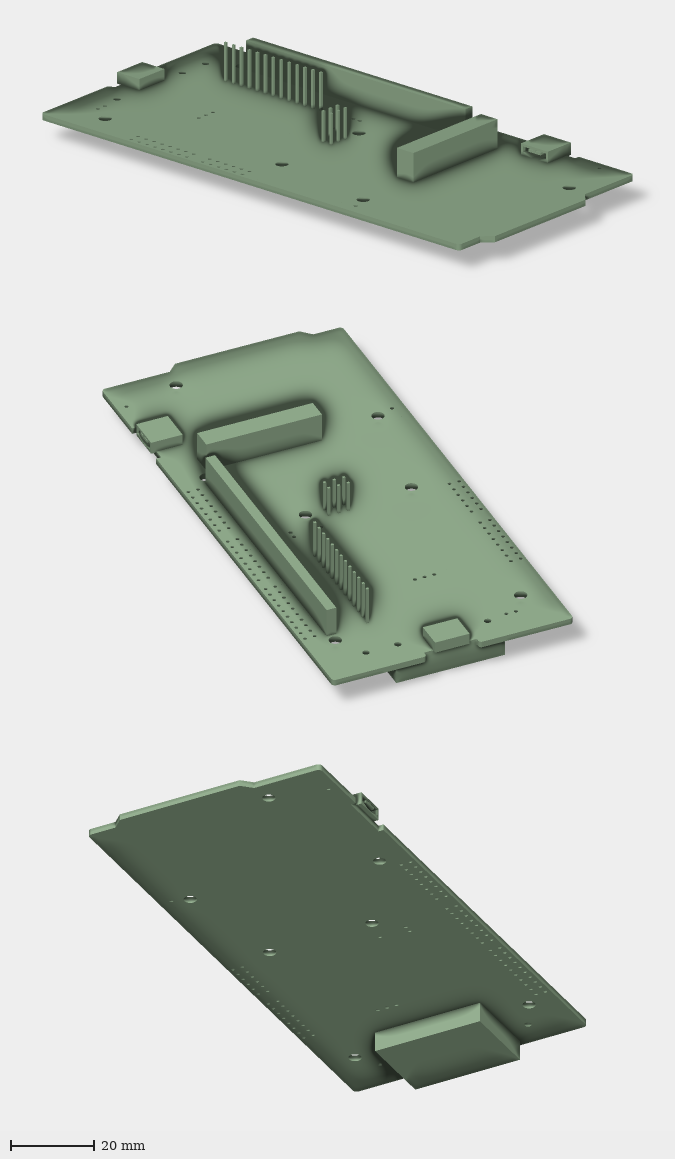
import cadquery as cq

GRID = 2.54

BOARD_LENGTH = 133.99
BOARD_WIDTH = 63.5
BOARD_THICKNESS = 1.6
BOARD_CORNER_RADIUS = 1.0
TAB_REACH = GRID
TAB_BOTTOM = 7.62
TAB_TOP = 45.47

NOTCH_WIDTH = 13.9
LEFT_NOTCH_DEPTH = 1.65
LEFT_NOTCH_MOUTH_RADIUS = 0.8
LEFT_NOTCH_ROOT_RADIUS = 0.4
SELECTION_MARGIN = 0.1
TOP_NOTCH_DEPTH = 1.3
TOP_NOTCH_CENTER_X = 109.2

MOUNTING_HOLE_DIAMETER = 3.2
MOUNTING_HOLES = [
    (13.97, 7.62),
    (15.24, 55.88),
    (66.04, 12.7),
    (66.04, 40.64),
    (90.17, 55.88),
    (96.52, 7.62),
    (128.27, 46.36),
]
LATCH_HOLE_DIAMETER = 1.78
LATCH_HOLES = [(7.45, 19.3), (7.45, 42.95), (7.45, 51.35)]
HEADER_HOLE_DIAMETER = 0.9
UPPER_HEADER_ROWS = (BOARD_WIDTH - 1.5 * GRID, BOARD_WIDTH - 0.5 * GRID)
LOWER_HEADER_ROWS = (0.5 * GRID, 1.5 * GRID)
UPPER_HEADERS = [(18.796, 10), (45.72, 8), (68.58, 8)]
LOWER_HEADERS = [(27.94, 8), (50.8, 6)]
JUMPER_HOLE_DIAMETER = 0.99
JUMPER_COLUMNS = [(30.48, 22.86, 3), (8.31, 11.43, 2)]
SMALL_HOLE_DIAMETER = 1.0
SMALL_HOLES = [
    (58.7, 46.95),
    (60.7, 46.95),
    (59.7, 39.38),
    (98.0, 3.25),
    (125.05, 60.95),
]

PIN_WIDTH = 0.64
TALL_PIN_HEIGHT = 9.93
TALL_PIN_COUNT = 13
TALL_PIN_ROW_X = 18.81
TALL_PIN_ROW_Y = 45.8
SHORT_PIN_HEIGHT = 8.0
SHORT_PIN_COLUMNS = 2
SHORT_PIN_ROWS = 3
SHORT_PIN_X = 63.6
SHORT_PIN_Y = 30.48

SOCKET_HEIGHT = 7.6
LONG_SOCKET_LENGTH = 70.2
LONG_SOCKET_WIDTH = GRID
LONG_SOCKET_X = 17.6
LONG_SOCKET_Y = 54.55
CROSS_SOCKET_WIDTH = 5.3
CROSS_SOCKET_LENGTH = 30.48
CROSS_SOCKET_X = 92.7
CROSS_SOCKET_Y = 24.15

BLOCK_LENGTH = 20.1
BLOCK_WIDTH = 28.6
BLOCK_HEIGHT = 5.2
BLOCK_Y = 17.4

CONNECTOR_HEIGHT = 2.95
LEFT_CONNECTOR_LENGTH = 7.1
LEFT_CONNECTOR_WIDTH = 9.1
LEFT_CONNECTOR_X = 0.5
SHELL_WIDTH = 8.6
SHELL_LENGTH = 8.3
SHELL_END_Y = 63.62
SHELL_SINK = 0.25
SHELL_WALL = 0.65
SHELL_SLOPE_WIDTH = 2.6
SHELL_SLOPE_HEIGHT = 0.75
TONGUE_WIDTH = 3.8
TONGUE_THICKNESS = 0.65
TONGUE_NECK_WIDTH = 0.8
TONGUE_NECK_HEIGHT = 0.25


def box(x, y, z, length, width, height):
    """Box given by its lowest corner and its sizes."""
    return cq.Workplane("XY").box(length, width, height, centered=False).translate((x, y, z))


def board_plate():
    """Board with rounded corners, a tab on the right and a notch in the left and top edges."""
    tab_end = BOARD_LENGTH + TAB_REACH
    plate = (
        cq.Workplane("XY")
        .rect(BOARD_LENGTH, BOARD_WIDTH, centered=False)
        .extrude(BOARD_THICKNESS)
        .edges("|Z")
        .fillet(BOARD_CORNER_RADIUS)
    )
    tab = (
        cq.Workplane("XY")
        .moveTo(BOARD_LENGTH, TAB_BOTTOM)
        .lineTo(tab_end, TAB_BOTTOM + TAB_REACH)
        .lineTo(tab_end, TAB_TOP - TAB_REACH)
        .lineTo(BOARD_LENGTH, TAB_TOP)
        .close()
        .extrude(BOARD_THICKNESS)
    )
    left_notch = box(
        0,
        (BOARD_WIDTH - NOTCH_WIDTH) / 2,
        0,
        LEFT_NOTCH_DEPTH,
        NOTCH_WIDTH,
        BOARD_THICKNESS,
    )
    plate = plate.cut(left_notch)
    plate = round_left_notch(plate, 0, LEFT_NOTCH_MOUTH_RADIUS)
    plate = round_left_notch(plate, LEFT_NOTCH_DEPTH, LEFT_NOTCH_ROOT_RADIUS)
    top_notch = box(
        TOP_NOTCH_CENTER_X - NOTCH_WIDTH / 2,
        BOARD_WIDTH - TOP_NOTCH_DEPTH,
        0,
        NOTCH_WIDTH,
        TOP_NOTCH_DEPTH,
        BOARD_THICKNESS,
    )
    return plate.union(tab).cut(top_notch)


def round_left_notch(plate, x, radius):
    """Round the two upright edges of the left notch that stand at the given X."""
    selector = cq.selectors.BoxSelector(
        (x - SELECTION_MARGIN, (BOARD_WIDTH - NOTCH_WIDTH) / 2 - SELECTION_MARGIN, 0),
        (x + SELECTION_MARGIN, (BOARD_WIDTH + NOTCH_WIDTH) / 2 + SELECTION_MARGIN, BOARD_THICKNESS),
    )
    upright_edges = plate.edges("|Z").edges(selector)
    return upright_edges.fillet(radius)


def drill(plate, points, diameter):
    """Drill round through holes at the given points."""
    drills = cq.Workplane("XY").pushPoints(points).circle(diameter / 2).extrude(BOARD_THICKNESS)
    return plate.cut(drills)


def header_points(headers, rows):
    """Hole centres of pin headers that share the same rows."""
    return [(first_x + GRID * i, y) for first_x, count in headers for i in range(count) for y in rows]


def drilled_board():
    """Board with all its holes."""
    jumper_points = [(x, y + GRID * i) for x, y, count in JUMPER_COLUMNS for i in range(count)]
    plate = board_plate()
    plate = drill(plate, MOUNTING_HOLES, MOUNTING_HOLE_DIAMETER)
    plate = drill(plate, LATCH_HOLES, LATCH_HOLE_DIAMETER)
    plate = drill(plate, header_points(UPPER_HEADERS, UPPER_HEADER_ROWS), HEADER_HOLE_DIAMETER)
    plate = drill(plate, header_points(LOWER_HEADERS, LOWER_HEADER_ROWS), HEADER_HOLE_DIAMETER)
    plate = drill(plate, jumper_points, JUMPER_HOLE_DIAMETER)
    return drill(plate, SMALL_HOLES, SMALL_HOLE_DIAMETER)


def pins(points, height):
    """Square pins standing on the board."""
    return (
        cq.Workplane("XY", origin=(0, 0, BOARD_THICKNESS))
        .pushPoints(points)
        .rect(PIN_WIDTH, PIN_WIDTH)
        .extrude(height)
    )


def tall_pins():
    """Single row of tall pins."""
    points = [(TALL_PIN_ROW_X + GRID * i, TALL_PIN_ROW_Y) for i in range(TALL_PIN_COUNT)]
    return pins(points, TALL_PIN_HEIGHT)


def short_pins():
    """Small block of short pins."""
    points = [
        (SHORT_PIN_X + GRID * i, SHORT_PIN_Y + GRID * j)
        for i in range(SHORT_PIN_COLUMNS)
        for j in range(SHORT_PIN_ROWS)
    ]
    return pins(points, SHORT_PIN_HEIGHT)


def sockets():
    """Long socket along the top edge and the socket across the board."""
    long_socket = box(
        LONG_SOCKET_X,
        LONG_SOCKET_Y,
        BOARD_THICKNESS,
        LONG_SOCKET_LENGTH,
        LONG_SOCKET_WIDTH,
        SOCKET_HEIGHT,
    )
    cross_socket = box(
        CROSS_SOCKET_X,
        CROSS_SOCKET_Y,
        BOARD_THICKNESS,
        CROSS_SOCKET_WIDTH,
        CROSS_SOCKET_LENGTH,
        SOCKET_HEIGHT,
    )
    return long_socket.union(cross_socket)


def lower_block():
    """Plain block under the board."""
    return box(LEFT_NOTCH_DEPTH, BLOCK_Y, -BLOCK_HEIGHT, BLOCK_LENGTH, BLOCK_WIDTH, BLOCK_HEIGHT)


def left_connector():
    """Closed connector body that overhangs the left notch."""
    return box(
        LEFT_CONNECTOR_X,
        (BOARD_WIDTH - LEFT_CONNECTOR_WIDTH) / 2,
        BOARD_THICKNESS,
        LEFT_CONNECTOR_LENGTH,
        LEFT_CONNECTOR_WIDTH,
        CONNECTOR_HEIGHT,
    )


def shell_outer():
    """Outer body of the open connector over the top notch."""
    return box(
        TOP_NOTCH_CENTER_X - SHELL_WIDTH / 2,
        SHELL_END_Y - SHELL_LENGTH,
        BOARD_THICKNESS - SHELL_SINK,
        SHELL_WIDTH,
        SHELL_LENGTH,
        CONNECTOR_HEIGHT + SHELL_SINK,
    )


def shell_opening():
    """Passage along Y through the open connector, with a tongue hanging from its roof."""
    half_width = SHELL_WIDTH / 2 - SHELL_WALL
    floor = BOARD_THICKNESS
    roof = BOARD_THICKNESS + CONNECTOR_HEIGHT - SHELL_WALL
    tongue_top = roof - TONGUE_NECK_HEIGHT
    tongue_bottom = tongue_top - TONGUE_THICKNESS
    right_side = [
        (half_width - SHELL_SLOPE_WIDTH, floor),
        (half_width, floor + SHELL_SLOPE_HEIGHT),
        (half_width, roof),
        (TONGUE_NECK_WIDTH / 2, roof),
        (TONGUE_NECK_WIDTH / 2, tongue_top),
        (TONGUE_WIDTH / 2, tongue_top),
        (TONGUE_WIDTH / 2, tongue_bottom),
    ]
    left_side = [(-x, z) for x, z in reversed(right_side)]
    return (
        cq.Workplane("XZ", origin=(TOP_NOTCH_CENTER_X, SHELL_END_Y, 0))
        .polyline(right_side + left_side)
        .close()
        .extrude(SHELL_LENGTH)
    )


result = drilled_board()
result = result.union(lower_block())
result = result.union(left_connector())
result = result.union(shell_outer()).cut(shell_opening())
result = result.union(sockets())
result = result.union(tall_pins())
result = result.union(short_pins())